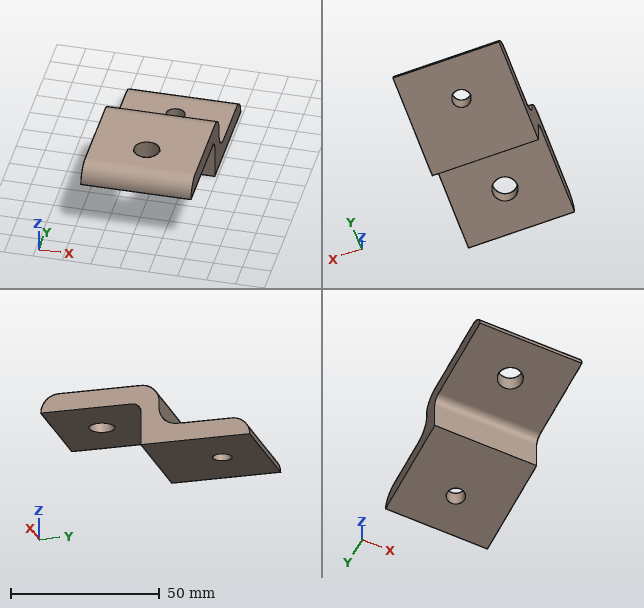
import cadquery as cq

width = 38.1
length = 73.1
height = 21.35

thickness = 6.35
round_radius = thickness
under_bend_radius = 3.15
lower_plate_length = 38.1

lower_hole_diameter = 6.5
lower_hole_from_end = 15.0
upper_hole_diameter = 8.8
upper_hole_from_end = 16.0

web_front = length - lower_plate_length
web_back = web_front + thickness
upper_underside = height - thickness


def make_body():
    """Extrude the bent section across the width, centred on X = 0."""
    section = (
        cq.Workplane("YZ")
        .moveTo(web_front, 0)
        .lineTo(length, 0)
        .radiusArc((length - round_radius, thickness), -round_radius)
        .lineTo(web_back + round_radius, thickness)
        .radiusArc((web_back, thickness + round_radius), round_radius)
        .lineTo(web_back, height - round_radius)
        .radiusArc((web_back - round_radius, height), -round_radius)
        .lineTo(round_radius, height)
        .radiusArc((0, upper_underside), -round_radius)
        .lineTo(web_front - under_bend_radius, upper_underside)
        .radiusArc((web_front, upper_underside - under_bend_radius), under_bend_radius)
        .close()
    )
    return section.extrude(width / 2, both=True)


def make_hole(y, diameter):
    """Vertical cutter through the full height at the middle of the width."""
    return cq.Workplane("XY").center(0, y).circle(diameter / 2).extrude(height)


result = (
    make_body()
    .cut(make_hole(length - lower_hole_from_end, lower_hole_diameter))
    .cut(make_hole(upper_hole_from_end, upper_hole_diameter))
)